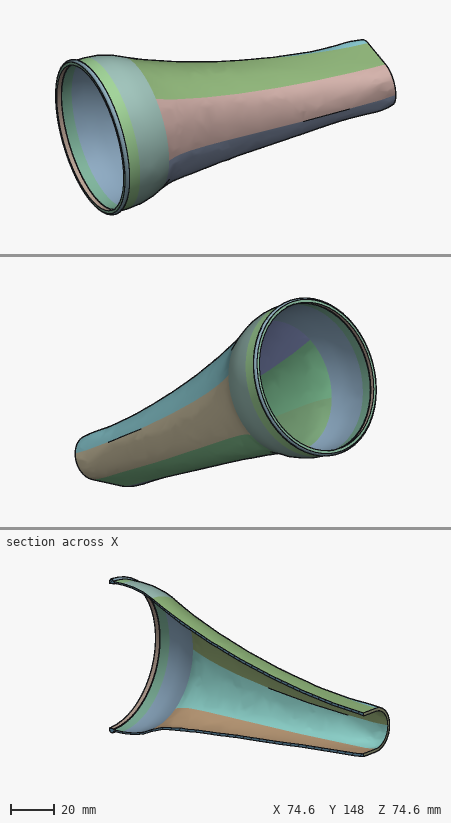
import cadquery as cq
import math

LENGTH = 148.0

BEAD_OUTER_RADIUS = 37.3
BEAD_ROUND_RADIUS = 1.25
BEAD_BORE_RADIUS = 35.0
COLLAR_RADIUS = 36.4
COLLAR_END = 8.0
NECK_START = 25.0
DOME_DEPTH = NECK_START - COLLAR_END
MOUTH_WALL = 1.0

TIP_HALF_WIDTH = 19.8
TIP_HALF_HEIGHT = 10.6
TIP_CENTER_Z = -11.0
TIP_WALL = 1.5

CROWN_ANGLE = math.radians(35.0)
CROWN_FADE_POWER = 1.5

TOP_HANDLES = (26.0, 45.0)
TOP_TIP_SLOPE = -0.06
BOTTOM_HANDLES = (7.0, 100.0)
BOTTOM_TIP_SLOPE = -0.066
SIDE_HANDLES = (14.0, 80.0)
SIDE_TIP_SLOPE = -0.025

NECK_FRACTIONS = (0.0, 0.06, 0.14, 0.28, 0.46, 0.64, 0.82, 1.0)
BISECTION_STEPS = 40


def bezier(p0, p1, p2, p3, t):
    """Value of a cubic Bezier curve in one coordinate."""
    s = 1.0 - t
    return s**3 * p0 + 3 * s**2 * t * p1 + 3 * s * t**2 * p2 + t**3 * p3


def outline_at(y, start, start_slope, end, end_slope, handles):
    """Distance of a neck outline curve from the mouth axis at position y."""
    y_points = (NECK_START, NECK_START + handles[0], LENGTH - handles[1], LENGTH)
    heights = (start, start + start_slope * handles[0], end - end_slope * handles[1], end)
    low, high = 0.0, 1.0
    for _ in range(BISECTION_STEPS):
        middle = (low + high) / 2
        if bezier(*y_points, middle) < y:
            low = middle
        else:
            high = middle
    return bezier(*heights, low)


def dome_end_radius(dome_radius):
    """Radius of the spherical dome where the neck starts."""
    return math.sqrt(dome_radius**2 - DOME_DEPTH**2)


def neck_outline(y, start_radius, tip_half_width, tip_half_height):
    """Center height, half width and half height of the neck section at position y."""
    start_slope = -DOME_DEPTH / start_radius
    tip_rise = tip_half_height + TIP_CENTER_Z
    tip_drop = tip_half_height - TIP_CENTER_Z
    top = outline_at(y, start_radius, start_slope, tip_rise, TOP_TIP_SLOPE, TOP_HANDLES)
    bottom = -outline_at(y, start_radius, start_slope, tip_drop, BOTTOM_TIP_SLOPE, BOTTOM_HANDLES)
    half_width = outline_at(y, start_radius, start_slope, tip_half_width, SIDE_TIP_SLOPE, SIDE_HANDLES)
    return (top + bottom) / 2, half_width, (top - bottom) / 2


def add_round_side(section, side, side_radius, half_width, turn, end):
    """Circular side from the upper corner over the widest point to the lower corner."""
    arc_x = side * (half_width - side_radius * (1 - math.cos(turn / 2)))
    arc_z = side * side_radius * math.sin(turn / 2)
    section = section.threePointArc((arc_x, arc_z), (side * half_width, 0))
    return section.threePointArc((arc_x, -arc_z), end)


def add_blended_side(section, side, corner_x, corner_z, half_width, turn, end):
    """Side that leaves the crown tangentially and meets the widest point upright."""
    pull = 4 / 3 * math.tan(turn / 4) / math.tan(turn / 2)
    run = half_width - corner_x
    tangent_meet_z = corner_z - run / math.tan(turn)
    shoulder_x = side * (corner_x + pull * run)
    shoulder_z = side * (corner_z + pull * (tangent_meet_z - corner_z))
    flank_x = side * half_width
    flank_z = side * (1 - pull) * tangent_meet_z
    upper_points = [(shoulder_x, shoulder_z), (flank_x, flank_z), (flank_x, 0)]
    lower_points = [(flank_x, -flank_z), (shoulder_x, -shoulder_z), end]
    section = section.bezier(upper_points, includeCurrent=True)
    return section.bezier(lower_points, includeCurrent=True)


def neck_section(fraction, mouth_inset, tip_inset):
    """Closed neck section wire: round at the dome, slot-shaped at the tip."""
    y = NECK_START + fraction * (LENGTH - NECK_START)
    start_radius = dome_end_radius(COLLAR_RADIUS - mouth_inset)
    tip_half_width = TIP_HALF_WIDTH - tip_inset
    tip_half_height = TIP_HALF_HEIGHT - tip_inset
    center_z, half_width, half_height = neck_outline(y, start_radius, tip_half_width, tip_half_height)

    fade = (1 - fraction) ** CROWN_FADE_POWER
    start_corner = start_radius * math.sin(CROWN_ANGLE)
    tip_corner = tip_half_width - tip_half_height
    corner_x = tip_corner + fade * (start_corner - tip_corner)
    sag = fade * start_radius * (1 - math.cos(CROWN_ANGLE))
    corner_z = half_height - sag
    corner_angle = 2 * math.atan2(sag, corner_x)
    turn = math.pi / 2 - corner_angle

    section = cq.Workplane(cq.Plane((0, y, center_z), (1, 0, 0), (0, -1, 0)))
    section = section.moveTo(-corner_x, corner_z)
    for side in (1, -1):
        upper = (side * corner_x, side * corner_z)
        lower = (side * corner_x, -side * corner_z)
        if fraction == 1:
            section = section.lineTo(*upper)
            section = add_round_side(section, side, tip_half_height, half_width, turn, lower)
        elif fraction == 0:
            section = section.threePointArc((0, side * half_height), upper)
            section = add_round_side(section, side, start_radius, half_width, turn, lower)
        else:
            section = section.threePointArc((0, side * half_height), upper)
            section = add_blended_side(section, side, corner_x, corner_z, half_width, turn, lower)
    return section.close().val()


def neck(mouth_inset, tip_inset):
    """Solid neck lofted from the dome to the tip."""
    wires = [neck_section(fraction, mouth_inset, tip_inset) for fraction in NECK_FRACTIONS]
    return cq.Workplane(cq.Solid.makeLoft(wires))


def collar(radius):
    """Cylinder from the mouth blending tangentially into a spherical dome."""
    half_angle = math.asin(DOME_DEPTH / radius) / 2
    dome_middle = (radius * math.cos(half_angle), COLLAR_END + radius * math.sin(half_angle))
    return (
        cq.Workplane("XY")
        .moveTo(0, 0)
        .lineTo(radius, 0)
        .lineTo(radius, COLLAR_END)
        .threePointArc(dome_middle, (dome_end_radius(radius), NECK_START))
        .lineTo(0, NECK_START)
        .close()
        .revolve(360, (0, 0, 0), (0, 1, 0))
    )


def bead():
    """Ring around the mouth edge: flat ends, plain bore and a full round outside."""
    bead_width = 2 * BEAD_ROUND_RADIUS
    round_center = BEAD_OUTER_RADIUS - BEAD_ROUND_RADIUS
    return (
        cq.Workplane("XY")
        .moveTo(BEAD_BORE_RADIUS, 0)
        .lineTo(round_center, 0)
        .threePointArc((BEAD_OUTER_RADIUS, BEAD_ROUND_RADIUS), (round_center, bead_width))
        .lineTo(BEAD_BORE_RADIUS, bead_width)
        .close()
        .revolve(360, (0, 0, 0), (0, 1, 0))
    )


outer = collar(COLLAR_RADIUS).union(neck(0, 0))
cavity = collar(COLLAR_RADIUS - MOUTH_WALL).union(neck(MOUTH_WALL, TIP_WALL))
result = outer.cut(cavity).union(bead())